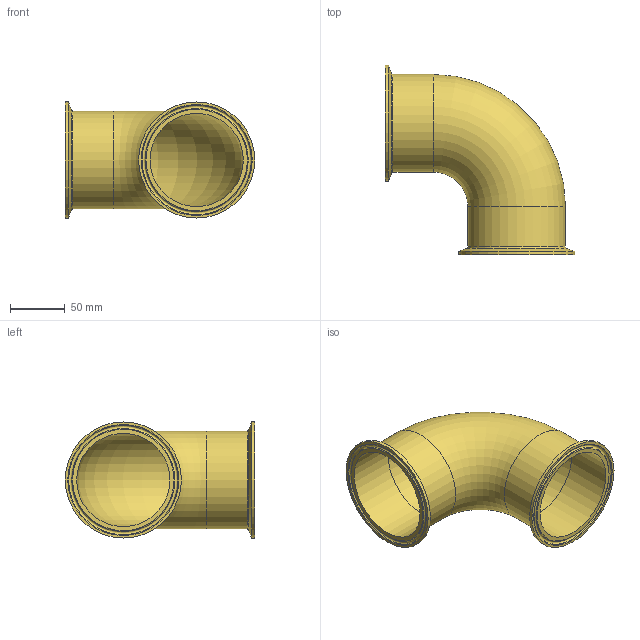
import cadquery as cq
import math


tube_outer_radius = 89.1 / 2
tube_inner_radius = 85.1 / 2
bend_radius = 76.0
face_to_axis = 120.0
straight_length = face_to_axis - bend_radius

flange_radius = 106.0 / 2
rim_thickness = 2.9
clamp_angle = math.radians(20.0)
neck_fillet = 1.5

groove_mid_radius = 97.0 / 2
groove_depth = 1.6
groove_floor_radius = 1.5
groove_edge_radius = 0.8


def add_groove(section):
    """Continue the section outward along the sealing face and through the gasket groove."""
    floor_center_x = groove_depth - groove_floor_radius
    center_distance = groove_floor_radius + groove_edge_radius
    edge_rise = groove_edge_radius - floor_center_x
    half_width = math.sqrt(center_distance**2 - edge_rise**2)
    floor_share = groove_floor_radius / center_distance
    blend_x = floor_center_x + edge_rise * floor_share
    blend_offset = half_width * floor_share

    return (
        section
        .lineTo(0, groove_mid_radius - half_width)
        .tangentArcPoint((blend_x, groove_mid_radius - blend_offset), relative=False)
        .threePointArc(
            (groove_depth, groove_mid_radius),
            (blend_x, groove_mid_radius + blend_offset),
        )
        .tangentArcPoint((0, groove_mid_radius + half_width), relative=False)
    )


def ferrule():
    """Straight tube end with its clamp flange: face at x = 0, tube running to +X."""
    cone_length = (flange_radius - tube_outer_radius) * math.tan(clamp_angle)
    neck_x = rim_thickness + cone_length
    neck_tangent = neck_fillet * math.tan((math.pi / 2 - clamp_angle) / 2)
    cone_end = (
        neck_x - neck_tangent * math.sin(clamp_angle),
        tube_outer_radius + neck_tangent * math.cos(clamp_angle),
    )
    neck_end = (neck_x + neck_tangent, tube_outer_radius)

    section = cq.Workplane("XY").moveTo(0, tube_inner_radius)
    section = (
        add_groove(section)
        .lineTo(0, flange_radius)
        .lineTo(rim_thickness, flange_radius)
        .lineTo(*cone_end)
        .tangentArcPoint(neck_end, relative=False)
        .lineTo(straight_length, tube_outer_radius)
        .lineTo(straight_length, tube_inner_radius)
        .close()
    )
    return section.revolve(360, (0, 0, 0), (1, 0, 0))


def bend():
    """Quarter-turn tube about the bend centre, from the -X port to the -Y port."""
    ring = (
        cq.Workplane("YZ", origin=(-bend_radius, 0, 0))
        .circle(tube_outer_radius)
        .circle(tube_inner_radius)
    )
    return ring.revolve(90, (-bend_radius, 1, 0), (-bend_radius, 0, 0))


x_port = ferrule().translate((-face_to_axis, 0, 0))
y_port = ferrule().rotate((0, 0, 0), (0, 0, 1), 90).translate((0, -face_to_axis, 0))

result = bend().union(x_port).union(y_port)